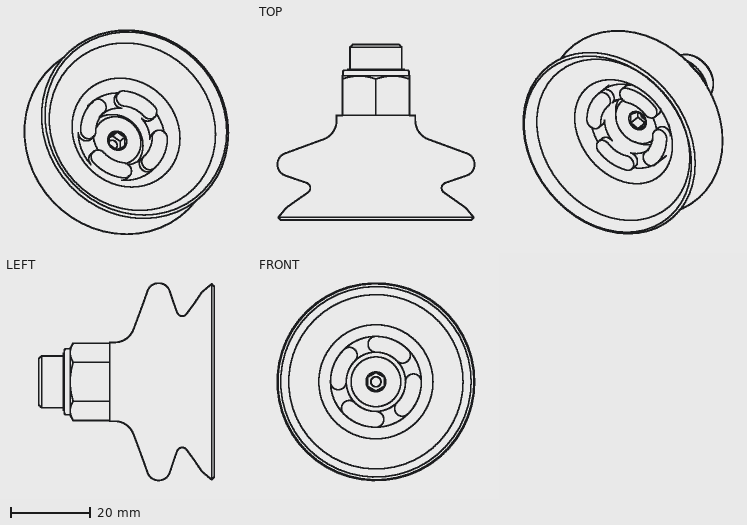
import cadquery as cq
import math

TOTAL_LENGTH = 44.5

LIP_FACE_RADIUS = 24.1
LIP_EDGE_RADIUS = 24.8
LIP_EDGE_Y = 0.7
LIP_OUTER_BEND = (22.7, 3.2)
LIP_INNER_BEND = (22.06, 2.9)

FOLD_ANGLE = 20.0
BELLY_RADIUS = 25.0
BELLY_ROUND = 3.0
BELLY_Y = 14.12
BELLY_CENTRE = (BELLY_RADIUS - BELLY_ROUND, BELLY_Y)
BELLY_INNER_ROUND = 1.6

WAIST_OUTER_RADIUS = 16.65
WAIST_OUTER_ROUND = 1.35
WAIST_OUTER_CENTRE = (WAIST_OUTER_RADIUS + WAIST_OUTER_ROUND, 8.15)
WAIST_OUTER_ANGLE = 33.7

WAIST_INNER_RADIUS = 14.45
WAIST_INNER_ROUND = 2.6
WAIST_INNER_CENTRE = (WAIST_INNER_RADIUS + WAIST_INNER_ROUND, 8.3)
WAIST_INNER_ANGLE = 27.3

NECK_RADIUS = 20.0 / 2
NECK_START_Y = 25.2
NECK_END_Y = 26.5
SHOULDER_ROUND = 5.0
SHOULDER_CENTRE = (NECK_RADIUS + SHOULDER_ROUND, NECK_START_Y)

HEX_ACROSS_FLATS = 17.0
HEX_END_Y = 36.5
HEX_CHAMFER_ANGLE = 30.0
COLLAR_RADIUS = 16.8 / 2
COLLAR_END_Y = 38.0
COLLAR_ROUND = 0.5
STEP_RADIUS = 14.4 / 2
STEP_END_Y = 38.25
THREAD_RADIUS = 13.16 / 2
THREAD_CHAMFER = 0.75

PLATE_RADIUS = 23.0 / 2
PLATE_BASE_ROUND = 0.5
PLATE_TOP_Y = 12.0
CAVITY_FLOOR_Y = BELLY_Y + BELLY_INNER_ROUND

PAD_COUNT = 4
PAD_SWEEP = 45.0
PAD_HEIGHT = 2.0

BORE_RADIUS = 15.0 / 2
BORE_FLOOR_Y = 17.8
BOSS_TOP_RADIUS = 6.3
BOSS_TOP_Y = 15.7

SOCKET_ACROSS_FLATS = 4.1
SOCKET_RIM_RADIUS = 5.0 / 2
SOCKET_DEPTH = 4.0
SOCKET_RIM_ANGLE = 30.0
AIR_HOLE_DIAMETER = 2.5


def on_round(centre, radius, angle):
    """Point on a round; the angle is measured from the first axis of the sketch."""
    turn = math.radians(angle)
    return (centre[0] + radius * math.cos(turn), centre[1] + radius * math.sin(turn))


def revolve(outline):
    """Full turn of a half outline about the Y axis."""
    return outline.close().revolve(360, (0, 0), (0, 1))


def cone_frustum(start_radius, start_y, end_radius, end_y):
    """Cone frustum or cylinder on the Y axis."""
    outline = cq.Workplane("XY").moveTo(0, start_y).lineTo(start_radius, start_y)
    return revolve(outline.lineTo(end_radius, end_y).lineTo(0, end_y))


def across_corners(across_flats):
    return across_flats / math.cos(math.radians(30))


def hexagon(across_flats, start_y, end_y):
    """Hexagonal prism along Y with two corners on the Z direction."""
    plane = cq.Plane(origin=(0, start_y, 0), xDir=(0, 0, 1), normal=(0, 1, 0))
    return cq.Workplane(plane).polygon(6, across_corners(across_flats)).extrude(end_y - start_y)


def cup_body():
    """Solid outer form of the bellows, from the lip to the neck."""
    flank = 90 - FOLD_ANGLE
    waist_flank = 90 - WAIST_OUTER_ANGLE
    outline = (
        cq.Workplane("XY")
        .moveTo(0, 0)
        .lineTo(LIP_FACE_RADIUS, 0)
        .lineTo(LIP_EDGE_RADIUS, LIP_EDGE_Y)
        .lineTo(*LIP_OUTER_BEND)
        .lineTo(*on_round(WAIST_OUTER_CENTRE, WAIST_OUTER_ROUND, 180 + waist_flank))
        .threePointArc(
            on_round(WAIST_OUTER_CENTRE, WAIST_OUTER_ROUND, 180),
            on_round(WAIST_OUTER_CENTRE, WAIST_OUTER_ROUND, 180 - flank),
        )
        .lineTo(*on_round(BELLY_CENTRE, BELLY_ROUND, -flank))
        .threePointArc(
            on_round(BELLY_CENTRE, BELLY_ROUND, 0),
            on_round(BELLY_CENTRE, BELLY_ROUND, flank),
        )
        .lineTo(*on_round(SHOULDER_CENTRE, SHOULDER_ROUND, 180 + flank))
        .threePointArc(
            on_round(SHOULDER_CENTRE, SHOULDER_ROUND, 180 + flank / 2),
            on_round(SHOULDER_CENTRE, SHOULDER_ROUND, 180),
        )
        .lineTo(NECK_RADIUS, NECK_END_Y)
        .lineTo(0, NECK_END_Y)
    )
    return revolve(outline)


def cup_cavity():
    """Space inside the bellows, leaving the support plate standing on its flat floor."""
    base_centre = (PLATE_RADIUS + PLATE_BASE_ROUND, CAVITY_FLOOR_Y - PLATE_BASE_ROUND)
    flank = 90 - FOLD_ANGLE
    waist_flank = 90 - WAIST_INNER_ANGLE
    outline = (
        cq.Workplane("XY")
        .moveTo(0, 0)
        .lineTo(LIP_FACE_RADIUS, 0)
        .lineTo(*LIP_INNER_BEND)
        .lineTo(*on_round(WAIST_INNER_CENTRE, WAIST_INNER_ROUND, 180 + waist_flank))
        .threePointArc(
            on_round(WAIST_INNER_CENTRE, WAIST_INNER_ROUND, 180),
            on_round(WAIST_INNER_CENTRE, WAIST_INNER_ROUND, 180 - flank),
        )
        .lineTo(*on_round(BELLY_CENTRE, BELLY_INNER_ROUND, -flank))
        .threePointArc(
            on_round(BELLY_CENTRE, BELLY_INNER_ROUND, 0),
            on_round(BELLY_CENTRE, BELLY_INNER_ROUND, 90),
        )
        .lineTo(*on_round(base_centre, PLATE_BASE_ROUND, 90))
        .threePointArc(
            on_round(base_centre, PLATE_BASE_ROUND, 135),
            on_round(base_centre, PLATE_BASE_ROUND, 180),
        )
        .lineTo(PLATE_RADIUS, PLATE_TOP_Y)
        .lineTo(0, PLATE_TOP_Y)
    )
    return revolve(outline)


def fitting():
    """Hexagon chamfered at its thread end, then rounded collar, step and thread."""
    flat_radius = HEX_ACROSS_FLATS / 2
    hex_length = HEX_END_Y - NECK_END_Y
    chamfer_growth = hex_length / math.tan(math.radians(HEX_CHAMFER_ANGLE))
    chamfer_cone = cone_frustum(flat_radius + chamfer_growth, NECK_END_Y, flat_radius, HEX_END_Y)
    nut = hexagon(HEX_ACROSS_FLATS, NECK_END_Y, HEX_END_Y).intersect(chamfer_cone)
    collar = cone_frustum(COLLAR_RADIUS, HEX_END_Y, COLLAR_RADIUS, COLLAR_END_Y)
    collar = collar.faces(">Y").edges().fillet(COLLAR_ROUND)
    step = cone_frustum(STEP_RADIUS, COLLAR_END_Y, STEP_RADIUS, STEP_END_Y)
    thread = cone_frustum(THREAD_RADIUS, STEP_END_Y, THREAD_RADIUS, TOTAL_LENGTH)
    thread = thread.faces(">Y").chamfer(THREAD_CHAMFER)
    return nut.union(collar).union(step).union(thread)


def pad():
    """Curved pad with round ends, reaching from the bore edge to the plate edge."""
    middle_radius = (PLATE_RADIUS + BORE_RADIUS) / 2
    end_radius = (PLATE_RADIUS - BORE_RADIUS) / 2

    def at(radius, angle):
        return on_round((0, 0), radius, angle)

    def end_tip(end_angle, side):
        centre = at(middle_radius, end_angle)
        return on_round(centre, end_radius, end_angle + side * 90)

    return (
        cq.Workplane("XZ", origin=(0, PLATE_TOP_Y, 0))
        .moveTo(*at(PLATE_RADIUS, -PAD_SWEEP))
        .threePointArc(at(PLATE_RADIUS, -PAD_SWEEP / 2), at(PLATE_RADIUS, 0))
        .threePointArc(end_tip(0, 1), at(BORE_RADIUS, 0))
        .threePointArc(at(BORE_RADIUS, -PAD_SWEEP / 2), at(BORE_RADIUS, -PAD_SWEEP))
        .threePointArc(end_tip(-PAD_SWEEP, -1), at(PLATE_RADIUS, -PAD_SWEEP))
        .close()
        .extrude(PAD_HEIGHT)
    )


def pad_ring():
    """Pads evenly spaced around the support plate."""
    pads = pad()
    for index in range(1, PAD_COUNT):
        pads = pads.union(pad().rotate((0, 0, 0), (0, 1, 0), index * 360 / PAD_COUNT))
    return pads


def bore():
    """Ring-bottomed bore through the pads, leaving a tapered boss standing on its floor."""
    mouth_y = PLATE_TOP_Y - PAD_HEIGHT
    outline = (
        cq.Workplane("XY")
        .moveTo(0, mouth_y)
        .lineTo(BORE_RADIUS, mouth_y)
        .lineTo(BORE_RADIUS, BORE_FLOOR_Y)
        .lineTo(BOSS_TOP_RADIUS, BOSS_TOP_Y)
        .lineTo(0, BOSS_TOP_Y)
    )
    return revolve(outline)


def air_passage():
    """Hexagon socket with a countersunk rim in the boss, and a hole through the fitting."""
    socket = hexagon(SOCKET_ACROSS_FLATS, BOSS_TOP_Y, BOSS_TOP_Y + SOCKET_DEPTH)
    hole_radius = AIR_HOLE_DIAMETER / 2
    rim_depth = (SOCKET_RIM_RADIUS - hole_radius) * math.tan(math.radians(SOCKET_RIM_ANGLE))
    rim = cone_frustum(SOCKET_RIM_RADIUS, BOSS_TOP_Y, hole_radius, BOSS_TOP_Y + rim_depth)
    hole = cone_frustum(hole_radius, BOSS_TOP_Y, hole_radius, TOTAL_LENGTH)
    return socket.union(rim).union(hole)


result = cup_body().cut(cup_cavity())
result = result.union(pad_ring(), clean=False)
result = result.union(fitting(), clean=False)
result = result.cut(bore(), clean=False)
result = result.cut(air_passage(), clean=False)